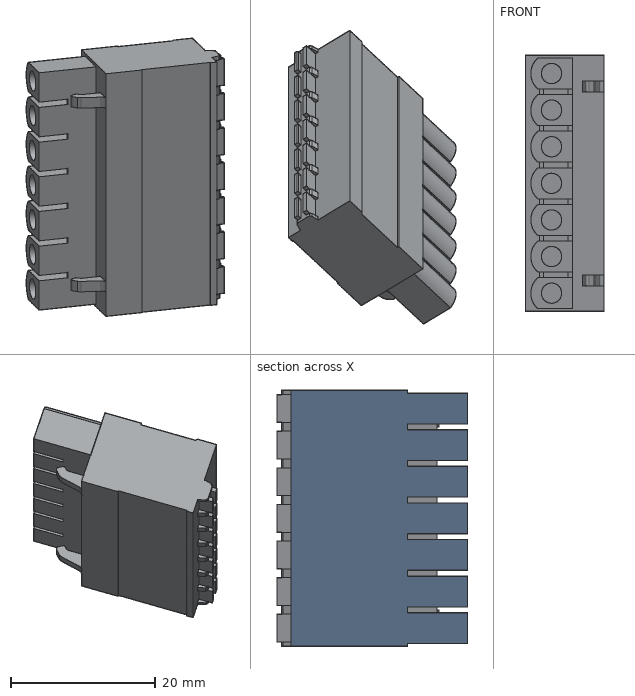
import cadquery as cq

pole_count = 7
height = 35.55
pitch = height / pole_count
total_depth = 26.5

body_width = 10.9
body_front = 8.32
body_back = total_depth - 1.95
left_relief = 0.25
left_relief_back = total_depth - 4.95
left_relief_run = 0.25
right_relief = 0.15
right_relief_back = total_depth - 2.9
relief_front = total_depth - 12.87

plug_left = 0.75
plug_flat_left = 1.75
plug_right = 6.55
plug_height = 4.3
hole_x = 3.63
hole_diameter = 2.8
hole_depth = 1.2

wall_left = 1.92
wall_thickness = 0.6
wall_length = 4.1

rail_base_left = 5.62
rail_base_right = 8.8
rail_top = total_depth - 0.65
rail_slope_inset = 0.3
rail_chamfer = 0.25
tab_height = 3.88
tab_left = 6.1
tab_thickness = 0.6
tab_right = 8.25
tab_chamfer = 0.15

latch_height = 1.53
latch_end_gap = 3.55

root_inner = (8.32, 0)
root_inner_mid = (8.43, 0.1)
shank_inner_start = (8.45, 0.3)
shank_inner_end = (8.45, 2.5)
barb_hollow_mid = (8.4, 2.88)
barb_hollow_end = (8.15, 3.15)
barb_point = (7.93, 3.45)
nose_start = (8.35, 4.2)
nose_mid = (8.55, 4.35)
nose_end = (8.82, 4.3)
back_lower_corner = (9.5, 3.65)
back_upper_corner = (9.7, 3.25)
shank_outer_end = (10.3, 0.55)
root_outer = (10.85, 0)


def pole_centres():
    return [(i + 0.5) * pitch for i in range(pole_count)]


def box(x0, x1, y0, y1, z0, z1):
    return cq.Workplane("XY").box(x1 - x0, y1 - y0, z1 - z0, centered=False).translate((x0, y0, z0))


def make_body():
    outline = [
        (0, body_front),
        (body_width, body_front),
        (body_width, relief_front),
        (body_width - right_relief, relief_front),
        (body_width - right_relief, right_relief_back),
        (body_width, right_relief_back),
        (body_width, body_back),
        (0, body_back),
        (0, left_relief_back + left_relief_run),
        (left_relief, left_relief_back),
        (left_relief, relief_front),
        (0, relief_front),
    ]
    return cq.Workplane("XY").polyline(outline).close().extrude(height)


def make_rail():
    left = rail_base_left + rail_slope_inset
    right = rail_base_right - rail_slope_inset
    outline = [
        (rail_base_left, body_back),
        (left, rail_top - rail_chamfer),
        (left + rail_chamfer, rail_top),
        (right - rail_chamfer, rail_top),
        (right, rail_top - rail_chamfer),
        (rail_base_right, body_back),
    ]
    return cq.Workplane("XY").polyline(outline).close().extrude(height)


def cut_rail_flanks(part, z0, z1):
    """Trim the sloped rail flanks flush with the outer tab faces."""
    for x0, x1 in ((rail_base_left, tab_left), (tab_right, rail_base_right)):
        part = part.cut(box(x0, x1, body_back, total_depth, z0, z1))
    return part


def make_tabs(z0, z1):
    left = box(tab_left, tab_left + tab_thickness, body_back, total_depth, z0, z1)
    right = box(tab_right - tab_thickness, tab_right, body_back, total_depth, z0, z1)
    right = right.edges("|Z and <X and >Y").chamfer(tab_chamfer)
    return left.union(right)


def make_plug(z):
    half = plug_height / 2
    return (
        cq.Workplane("XZ")
        .moveTo(plug_right, z - half)
        .lineTo(plug_right, z + half)
        .lineTo(plug_flat_left, z + half)
        .threePointArc((plug_left, z), (plug_flat_left, z - half))
        .close()
        .extrude(-body_front)
    )


def make_hole(z):
    return cq.Workplane("XZ").center(hole_x, z).circle(hole_diameter / 2).extrude(-hole_depth)


def make_latch(z):
    """Hooked finger in front of the body, tapering from its filleted root to a barbed tip."""

    def at(corner):
        x, reach = corner
        return (x, body_front - reach)

    return (
        cq.Workplane("XY", origin=(0, 0, z))
        .moveTo(*at(root_inner))
        .threePointArc(at(root_inner_mid), at(shank_inner_start))
        .lineTo(*at(shank_inner_end))
        .threePointArc(at(barb_hollow_mid), at(barb_hollow_end))
        .lineTo(*at(barb_point))
        .lineTo(*at(nose_start))
        .threePointArc(at(nose_mid), at(nose_end))
        .lineTo(*at(back_lower_corner))
        .lineTo(*at(back_upper_corner))
        .lineTo(*at(shank_outer_end))
        .tangentArcPoint(at(root_outer), relative=False)
        .close()
        .extrude(latch_height)
    )


def make_walls(gap_bottom, gap_top):
    """Two walls standing in the gap between neighbouring plugs."""
    wall_front = body_front - wall_length
    left = box(wall_left, wall_left + wall_thickness, wall_front, body_front, gap_bottom, gap_top)
    right = box(plug_right - wall_thickness, plug_right, wall_front, body_front, gap_bottom, gap_top)
    return left.union(right)


result = make_body().union(make_rail())

for z in pole_centres():
    tab_bottom = z - tab_height / 2
    tab_top = z + tab_height / 2
    result = cut_rail_flanks(result, tab_bottom, tab_top)
    result = result.union(make_tabs(tab_bottom, tab_top))
    result = result.union(make_plug(z)).cut(make_hole(z))

for z in pole_centres()[:-1]:
    result = result.union(make_walls(z + plug_height / 2, z + pitch - plug_height / 2))

for z in (latch_end_gap, height - latch_end_gap - latch_height):
    result = result.union(make_latch(z))